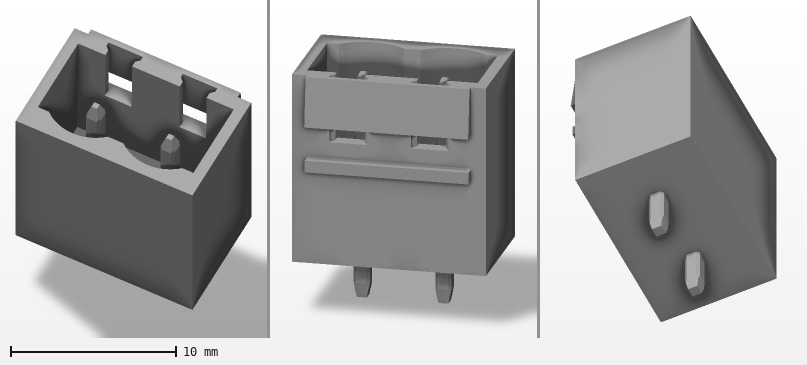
import cadquery as cq


housing_width = 12.06
housing_depth = 7.75
housing_height = 12.0
pin_to_front = 3.8
front_y = -pin_to_front
back_y = front_y + housing_depth

cavity_width = 10.62
cavity_floor_z = 3.4
front_wall = 1.52
back_wall = 0.92
wall_lean = 0.11
bay_radius = 3.04

pin_count = 2
pin_pitch = 5.08
pin_width = 1.0
pin_corner_chamfer = 0.18
pin_top_z = 11.1
pin_top_tip_width = 0.37
pin_top_taper = 0.9
pin_tail_length = 3.2
pin_tail_tip_width = 0.62
pin_tail_taper = 0.95
pin_positions = [(i - (pin_count - 1) / 2) * pin_pitch for i in range(pin_count)]

slot_floor_z = 7.82
slot_wide = 2.35
slot_neck = 1.83
slot_wide_depth = 0.27
slot_flare = (slot_wide - slot_neck) / 2

latch_width = 10.2
latch_bottom_z = 8.9
latch_reach = 0.75
latch_top_reach = 0.38
rib_width = latch_width
rib_reach = 0.64
rib_bottom_z = 6.0
rib_height = 0.74
rib_root_radius = 0.1

overlap = 0.1


def box(width, y_start, y_end, z_start, z_end, x_center=0):
    """Box centred on x_center and spanning the given Y and Z ranges."""
    return cq.Workplane("XY").box(width, y_end - y_start, z_end - z_start).translate(
        (x_center, (y_start + y_end) / 2, (z_start + z_end) / 2)
    )


def prism_along_x(points, width):
    """Closed (y, z) outline extruded symmetrically along X."""
    return cq.Workplane("YZ").polyline(points).close().extrude(width / 2, both=True)


def make_cavity():
    """Straight-sided cavity whose front and back walls close in towards the floor."""
    front_top = front_y + front_wall
    back_top = back_y - back_wall
    outline = [
        (front_top, housing_height),
        (back_top, housing_height),
        (back_top - wall_lean, cavity_floor_z),
        (front_top + wall_lean, cavity_floor_z),
    ]
    return prism_along_x(outline, cavity_width)


def make_bay(x):
    """Round bay concentric with a pin, bulging into the front wall within the cavity width."""
    bay_height = housing_height - cavity_floor_z
    cylinder = cq.Workplane("XY", origin=(x, 0, cavity_floor_z)).circle(bay_radius).extrude(bay_height)
    front_of_cavity = box(cavity_width, front_y, 0, cavity_floor_z, housing_height)
    return cylinder.intersect(front_of_cavity)


def make_slot(x):
    """Slot through the back wall, wide at the back face and necked at the cavity."""
    neck_y = back_y - slot_wide_depth - slot_flare
    inner_y = back_y - back_wall - wall_lean
    right_side = [
        (slot_wide / 2, back_y),
        (slot_wide / 2, back_y - slot_wide_depth),
        (slot_neck / 2, neck_y),
        (slot_neck / 2, inner_y),
    ]
    left_side = [(-px, py) for px, py in reversed(right_side)]
    return (
        cq.Workplane("XY", origin=(x, 0, slot_floor_z))
        .polyline(right_side + left_side)
        .close()
        .extrude(housing_height - slot_floor_z)
    )


def make_latch():
    """Wedge that thickens downwards and ends in a square ledge."""
    outline = [
        (back_y, latch_bottom_z),
        (back_y + latch_reach, latch_bottom_z),
        (back_y + latch_top_reach, housing_height),
        (back_y, housing_height),
    ]
    return prism_along_x(outline, latch_width)


def make_rib():
    """Square rib with small fillets along its root, above and below."""
    rib_top_z = rib_bottom_z + rib_height
    root_y = back_y + rib_root_radius
    tip_y = back_y + rib_reach
    low_root_z = rib_bottom_z - rib_root_radius
    high_root_z = rib_top_z + rib_root_radius
    sag = rib_root_radius * (1 - 0.5**0.5)
    return (
        cq.Workplane("YZ")
        .moveTo(back_y - overlap, low_root_z)
        .lineTo(back_y, low_root_z)
        .threePointArc((back_y + sag, rib_bottom_z - sag), (root_y, rib_bottom_z))
        .lineTo(tip_y, rib_bottom_z)
        .lineTo(tip_y, rib_top_z)
        .lineTo(root_y, rib_top_z)
        .threePointArc((back_y + sag, rib_top_z + sag), (back_y, high_root_z))
        .lineTo(back_y - overlap, high_root_z)
        .close()
        .extrude(rib_width / 2, both=True)
    )


def make_taper(x, start_z, length, tip_width):
    """Square pyramid frustum from full pin width to tip_width; negative length points down."""
    return (
        cq.Workplane("XY", origin=(x, 0, start_z))
        .rect(pin_width, pin_width)
        .workplane(offset=length)
        .rect(tip_width, tip_width)
        .loft(ruled=True)
    )


def make_pin(x):
    """Square pin with chamfered corners and a tapered point at each end."""
    shank_top_z = pin_top_z - pin_top_taper
    shank_bottom_z = pin_tail_taper - pin_tail_length
    half = pin_width / 2
    pointed_bar = (
        box(pin_width, -half, half, shank_bottom_z, shank_top_z, x)
        .union(make_taper(x, shank_top_z, pin_top_taper, pin_top_tip_width))
        .union(make_taper(x, shank_bottom_z, -pin_tail_taper, pin_tail_tip_width))
    )
    chamfered_bar = (
        box(pin_width, -half, half, -pin_tail_length, pin_top_z, x)
        .edges("|Z")
        .chamfer(pin_corner_chamfer)
    )
    return pointed_bar.intersect(chamfered_bar)


housing = box(housing_width, front_y, back_y, 0, housing_height)
housing = housing.cut(make_cavity())
for pin_x in pin_positions:
    housing = housing.cut(make_bay(pin_x)).cut(make_slot(pin_x))
result = housing.union(make_latch()).union(make_rib())
for pin_x in pin_positions:
    result = result.union(make_pin(pin_x))